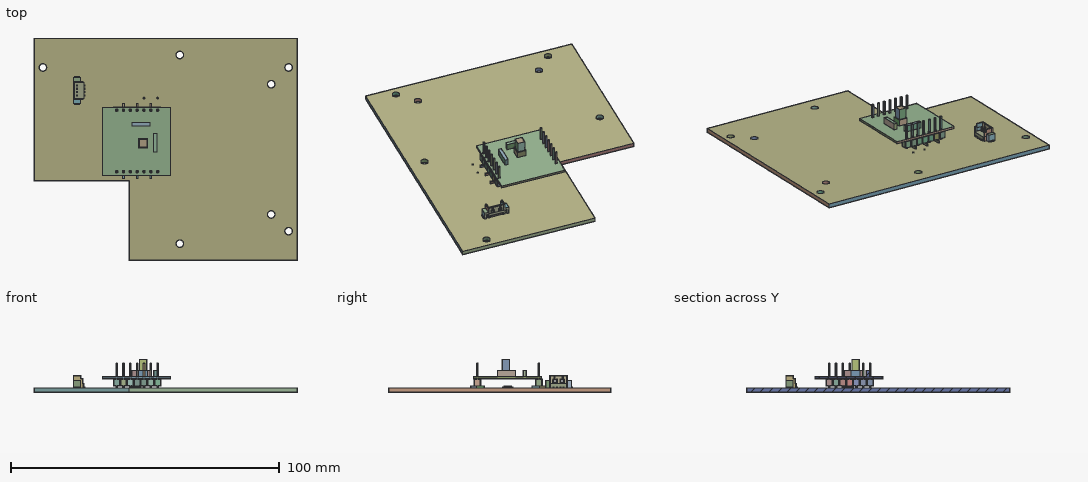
import cadquery as cq

BOARD_X = 98.0
BOARD_Y = 82.6
BOARD_T = 1.6
NOTCH_X = 35.4
NOTCH_Y = 29.6
MOUNT_HOLE_D = 2.7
EDGE_HOLE_INSET = 3.3
EDGE_HOLE_OFFSET = 30.45
INNER_HOLE_X = 88.23
INNER_HOLE_OFFSET = 24.22
MID_HOLE_X = 54.23
MID_HOLE_OFFSET = 35.1
VIA_D = 0.5
VIA_PINS = (5, 7)
VIA_FROM_ROW = 4.5
OVERALL_Z = 12.25

PIN_COUNT = 7
PITCH = 2.54
PIN_SIZE = 0.58
PIN_TIP_CHAMFER = PIN_SIZE / 4
HEADER_X = 38.36
HEADER_Y = 44.42
STRIP_CHAMFER = PITCH / 10
STRIP_Z = 2.4
STRIP_TOP = STRIP_Z + PITCH
PIN_ABOVE_STRIP = 6.0
LEG_REACH = 2.57
LEG_H = STRIP_Z - BOARD_T
ROW_SPACING = 22.86

MODULE_X = 38.15
MODULE_Y = 44.2
MODULE_SIZE = 25.4
MODULE_Z = 5.0
MODULE_T = 0.8
PIN_HOLE_D = 0.92
MODULE_TOP = MODULE_Z + MODULE_T
PART_H = 2.4
TOWER_X = 40.55
TOWER_Y = 43.6
TOWER_BASE = 3.5
TOWER_POST = 2.8
BLOCK_LENGTH = 6.8
BLOCK_WIDTH = 1.25
BACK_BLOCK_X = 39.8
BACK_BLOCK_Y = 50.58
SIDE_BLOCK_X = 45.15
SIDE_BLOCK_Y = 43.8

CHIP_X = 37.8
CHIP_Y = 44.2
CHIP_BASE = 3.9
CHIP_BASE_H = 0.45
CHIP_TOP = 2.8
CHIP_H = 0.8

CONN_X = 14.6
CONN_Y = 63.2
CONN_WIDTH = 6.7
CONN_WALL = 0.4
CONN_TALL_DEPTH = 2.8
CONN_LOW_DEPTH = 3.6
CONN_BASE_DEPTH = 4.0
CONN_TOP = 6.2
CONN_LOW_TOP = 5.1
CONN_FLOOR_Z = 3.25
CONTACT_PITCH = 1.25
CONTACT_COUNT = 4
CONTACT_SIZE = 0.4
CONTACT_X = 16.0
CONTACT_TOP = 5.0
CONTACT_FOOT_END = 18.9
WINDOW_OFFSET = 1.54
WINDOW_WIDTH = 1.15
WINDOW_Z = 3.6
WINDOW_TOP = 4.75
SLOT_WIDTH = 0.35
GROOVE_WIDTH = 5.6
GROOVE_H = 0.8
GROOVE_DEPTH = 0.2
WING_SPAN = 9.7
WING_DEPTH = 2.7
WING_TOP = 4.4
WING_LEG = 0.7
WING_POCKET_TOP = 3.3
WING_POCKET_DEPTH = 0.6
FOOT_SPAN = 10.3
FOOT_DEPTH = 1.8
FOOT_H = 0.4


def block(x0, x1, y0, y1, z0, z1):
    """A box between two opposite corners."""
    return cq.Workplane("XY").box(x1 - x0, y1 - y0, z1 - z0, centered=False).translate((x0, y0, z0))


def post(x, y, size_x, size_y, z0, z1):
    """A box centred on (x, y), from height z0 to z1."""
    box = cq.Workplane("XY").box(size_x, size_y, z1 - z0, centered=(True, True, False))
    return box.translate((x, y, z0))


def pin_x(number):
    """X of a header pin, counted from 1 at the left."""
    return HEADER_X + (number - (PIN_COUNT + 1) / 2) * PITCH


FRONT_ROW_Y = HEADER_Y - ROW_SPACING / 2
BACK_ROW_Y = HEADER_Y + ROW_SPACING / 2


def make_board():
    mid_y = BOARD_Y / 2
    outline = [
        (0, NOTCH_Y),
        (NOTCH_X, NOTCH_Y),
        (NOTCH_X, 0),
        (BOARD_X, 0),
        (BOARD_X, BOARD_Y),
        (0, BOARD_Y),
    ]
    hole_pairs = [
        (MID_HOLE_X, MID_HOLE_OFFSET),
        (INNER_HOLE_X, INNER_HOLE_OFFSET),
        (BOARD_X - EDGE_HOLE_INSET, EDGE_HOLE_OFFSET),
    ]
    mount_holes = [(x, mid_y + side * offset) for x, offset in hole_pairs for side in (-1, 1)]
    mount_holes.append((EDGE_HOLE_INSET, mid_y + EDGE_HOLE_OFFSET))
    vias = [(pin_x(number), BACK_ROW_Y + VIA_FROM_ROW) for number in VIA_PINS]

    board = cq.Workplane("XY").polyline(outline).close().extrude(BOARD_T)
    board = board.cut(cq.Workplane("XY").pushPoints(mount_holes).circle(MOUNT_HOLE_D / 2).extrude(BOARD_T))
    return board.cut(cq.Workplane("XY").pushPoints(vias).circle(VIA_D / 2).extrude(BOARD_T))


def make_header(row_y, outward):
    """Strip, pins and legs in one body; even legs point outward (+1 or -1 in Y), odd legs inward."""
    header = cq.Workplane("XY")
    for number in range(1, PIN_COUNT + 1):
        x = pin_x(number)
        cell = post(x, row_y, PITCH, PITCH, STRIP_Z, STRIP_TOP).edges("|Z").chamfer(STRIP_CHAMFER)
        pin = post(x, row_y, PIN_SIZE, PIN_SIZE, BOARD_T, STRIP_TOP + PIN_ABOVE_STRIP)
        pin = pin.faces(">Z").chamfer(PIN_TIP_CHAMFER)
        leg_side = outward if number % 2 == 0 else -outward
        leg_y = row_y + leg_side * LEG_REACH / 2
        leg = post(x, leg_y, PIN_SIZE, LEG_REACH, BOARD_T, BOARD_T + LEG_H)
        header = header.add(cell).add(pin).add(leg)
    return header.combine()


def make_module():
    """Module board with its pin holes and the two-step tower."""
    pins = [(pin_x(n), y) for n in range(1, PIN_COUNT + 1) for y in (FRONT_ROW_Y, BACK_ROW_Y)]
    plate = post(MODULE_X, MODULE_Y, MODULE_SIZE, MODULE_SIZE, MODULE_Z, MODULE_TOP)
    holes = cq.Workplane("XY").pushPoints(pins).circle(PIN_HOLE_D / 2).extrude(MODULE_TOP)
    tower_base = post(TOWER_X, TOWER_Y, TOWER_BASE, TOWER_BASE, MODULE_TOP, MODULE_TOP + PART_H)
    tower_post = post(TOWER_X, TOWER_Y, TOWER_POST, TOWER_POST, MODULE_TOP + PART_H, OVERALL_Z)
    return plate.cut(holes).union(tower_base).union(tower_post)


def make_back_block():
    return post(BACK_BLOCK_X, BACK_BLOCK_Y, BLOCK_LENGTH, BLOCK_WIDTH, MODULE_TOP, MODULE_TOP + PART_H)


def make_side_block():
    return post(SIDE_BLOCK_X, SIDE_BLOCK_Y, BLOCK_WIDTH, BLOCK_LENGTH, MODULE_TOP, MODULE_TOP + PART_H)


def make_chip():
    base = post(CHIP_X, CHIP_Y, CHIP_BASE, CHIP_BASE, BOARD_T, BOARD_T + CHIP_BASE_H)
    top = post(CHIP_X, CHIP_Y, CHIP_TOP, CHIP_TOP, BOARD_T + CHIP_BASE_H, BOARD_T + CHIP_H)
    return base.union(top)


def connector_housing():
    """Shell open at the top and to the right, with two windows slotted down from the left wall's top."""
    x_low = CONN_X + CONN_LOW_DEPTH
    x_base = CONN_X + CONN_BASE_DEPTH
    y0 = CONN_Y - CONN_WIDTH / 2
    y1 = CONN_Y + CONN_WIDTH / 2
    inner_y0 = y0 + CONN_WALL
    inner_y1 = y1 - CONN_WALL
    inner_x = CONN_X + CONN_WALL

    housing = block(CONN_X, CONN_X + CONN_TALL_DEPTH, y0, y1, BOARD_T, CONN_TOP)
    housing = housing.union(block(CONN_X, x_low, y0, y1, BOARD_T, CONN_LOW_TOP))
    housing = housing.union(block(CONN_X, x_base, inner_y0, inner_y1, BOARD_T, CONN_FLOOR_Z))
    housing = housing.cut(block(inner_x, x_base, inner_y0, inner_y1, CONN_FLOOR_Z, CONN_TOP))
    for side in (-1, 1):
        y = CONN_Y + side * WINDOW_OFFSET
        wall_x = CONN_X + CONN_WALL / 2
        housing = housing.cut(post(wall_x, y, CONN_WALL, WINDOW_WIDTH, WINDOW_Z, WINDOW_TOP))
        housing = housing.cut(post(wall_x, y, CONN_WALL, SLOT_WIDTH, WINDOW_TOP, CONN_TOP))
    groove_x = CONN_X + GROOVE_DEPTH / 2
    return housing.cut(post(groove_x, CONN_Y, GROOVE_DEPTH, GROOVE_WIDTH, BOARD_T, BOARD_T + GROOVE_H))


def connector_wing(side):
    """Side wing with a pocket in its left face and a solder foot; side is +1 or -1 in Y."""
    x_mid = CONN_X + WING_DEPTH / 2
    wing_width = (WING_SPAN - CONN_WIDTH) / 2
    wing_y = CONN_Y + side * (CONN_WIDTH + wing_width) / 2
    wing = post(x_mid, wing_y, WING_DEPTH, wing_width, BOARD_T, WING_TOP)
    pocket_width = wing_width - WING_LEG
    pocket_y = CONN_Y + side * (CONN_WIDTH + pocket_width) / 2
    pocket_x = CONN_X + WING_POCKET_DEPTH / 2
    wing = wing.cut(post(pocket_x, pocket_y, WING_POCKET_DEPTH, pocket_width, BOARD_T, WING_POCKET_TOP))
    foot_width = (FOOT_SPAN - WING_SPAN) / 2
    foot_y = CONN_Y + side * (WING_SPAN + foot_width) / 2
    return wing.union(post(x_mid, foot_y, FOOT_DEPTH, foot_width, BOARD_T, BOARD_T + FOOT_H))


def connector_contact(y):
    """Upright contact in the shell with a solder foot reaching out to the right."""
    half = CONTACT_SIZE / 2
    contact = post(CONTACT_X, y, CONTACT_SIZE, CONTACT_SIZE, CONN_FLOOR_Z, CONTACT_TOP)
    foot_x = CONN_X + CONN_BASE_DEPTH
    foot = block(foot_x, CONTACT_FOOT_END, y - half, y + half, BOARD_T, BOARD_T + FOOT_H)
    return contact.add(foot)


def make_connector():
    connector = connector_housing()
    for side in (-1, 1):
        connector = connector.union(connector_wing(side))
    for number in range(CONTACT_COUNT):
        contact_y = CONN_Y + (number - (CONTACT_COUNT - 1) / 2) * CONTACT_PITCH
        connector = connector.union(connector_contact(contact_y))
    return connector


board = make_board()
connector = make_connector()
front_header = make_header(FRONT_ROW_Y, -1)
back_header = make_header(BACK_ROW_Y, 1)
module = make_module()
back_block = make_back_block()
side_block = make_side_block()
chip = make_chip()

result = cq.Compound.makeCompound([
    board.val(),
    connector.val(),
    front_header.val(),
    back_header.val(),
    module.val(),
    back_block.val(),
    side_block.val(),
    chip.val(),
])